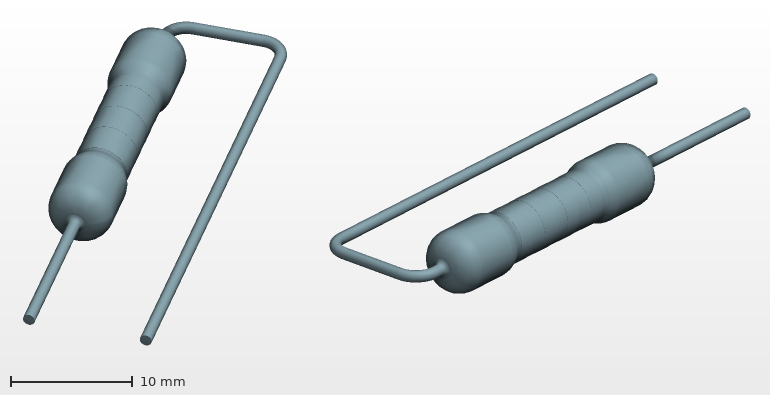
import cadquery as cq
import math

overall_length = 42.1
overall_width = 13.25

cap_radius = 5.5 / 2
barrel_radius = 4.67 / 2
band_radius = 4.7 / 2
body_half_length = 12.5
dome_height = 1.9
cap_inner_end = 6.78
barrel_half_length = 5.15
band_count = 7

lead_radius = 1.0 / 2
neck_fillet = 0.5
bend_radius = 1.98
lead_top = 16.0

dome_start = body_half_length - dome_height
neck_radius = lead_radius + neck_fillet
neck_end = body_half_length + neck_fillet
band_width = 2 * barrel_half_length / band_count
cap_root = barrel_half_length - band_width
lead_bottom = lead_top - overall_length
lead_pitch = overall_width - cap_radius - lead_radius
diagonal = math.sqrt(0.5)


def make_end_cap():
    """Revolve the upper end of the body: barrel end, S-shaped shoulder, domed cap and neck."""
    shoulder_middle = ((barrel_radius + cap_radius) / 2, (barrel_half_length + cap_inner_end) / 2)
    neck_middle = (
        neck_radius - neck_fillet * diagonal,
        neck_end - neck_fillet * diagonal,
    )
    return (
        cq.Workplane("XY")
        .moveTo(0, cap_root)
        .lineTo(barrel_radius, cap_root)
        .lineTo(barrel_radius, barrel_half_length)
        .tangentArcPoint(shoulder_middle, relative=False)
        .tangentArcPoint((cap_radius, cap_inner_end), relative=False)
        .lineTo(cap_radius, dome_start)
        .tangentArcPoint((neck_radius, body_half_length), relative=False)
        .threePointArc(neck_middle, (lead_radius, neck_end))
        .lineTo(0, neck_end)
        .close()
        .revolve(360, (0, 0), (0, 1))
    )


def make_bands():
    """Every other equal stretch of the barrel carries a slightly raised band."""
    bands = cq.Workplane("XZ")
    for index in range(0, band_count, 2):
        start = barrel_half_length - index * band_width
        band = cq.Workplane("XZ", origin=(0, start, 0)).circle(band_radius).extrude(band_width)
        bands = bands.add(band)
    return bands.combine()


def make_lead():
    """Sweep the wire through the body, across the top and back down beside it."""
    top = lead_top - lead_radius
    bend_start = top - bend_radius
    bend_offset = bend_radius * (1 - diagonal)
    path = (
        cq.Workplane("XY")
        .moveTo(0, lead_bottom)
        .lineTo(0, bend_start)
        .threePointArc((bend_offset, top - bend_offset), (bend_radius, top))
        .lineTo(lead_pitch - bend_radius, top)
        .threePointArc((lead_pitch - bend_offset, top - bend_offset), (lead_pitch, bend_start))
        .lineTo(lead_pitch, lead_bottom)
    )
    return cq.Workplane("XZ", origin=(0, lead_bottom, 0)).circle(lead_radius).sweep(path)


barrel = cq.Workplane("XZ").circle(barrel_radius).extrude(cap_root, both=True)
upper_cap = make_end_cap()
lower_cap = upper_cap.mirror("XZ")
result = barrel.union(upper_cap).union(lower_cap).union(make_bands()).union(make_lead())